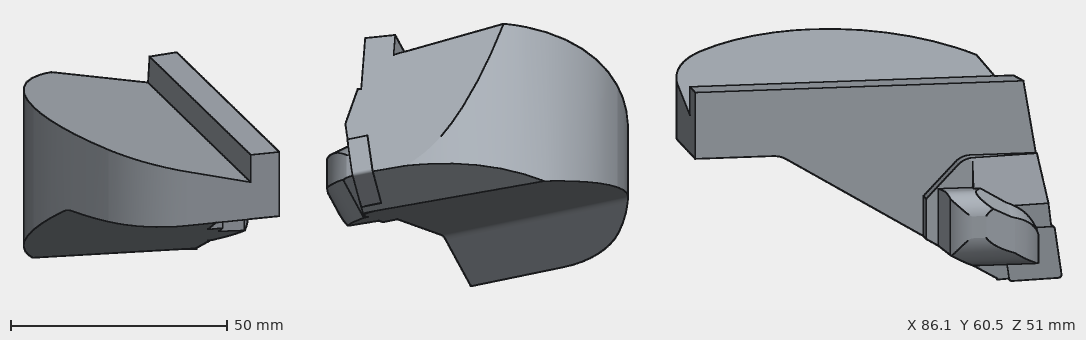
import cadquery as cq
import math

length = 86.0
top_height = 51.0
back_y = 47.9
nose_radius = 48.2
nose_center_x = 49.5
flank_radius = 47.7
flank_arc_start_y = 33.4
corner_radius = 20.0
top_slope = math.tan(math.radians(15))

rail_width = 7.0
rail_height = 46.7

toe_height = 0.9
toe_end_x = 15.6
toe_rise = 0.1
heel_height = 31.05
heel_start_x = 66.05
heel_blend = 6.0

back_lean_x = 0.16
back_lean_z = 0.13
flank_lean_z = 0.17
flank_offset = 0.95

seat_length = 32.4
seat_height = 29.7
seat_back_y = 51.4
seat_step_x = 21.5
seat_crest_radius = 4.65
seat_fall = math.radians(46)
upper_lean_z = 0.23
upper_start_y = 48.7
upper_start_x = 5.7

insert_corner = (-0.2, 48.0, 0.0)
insert_side = 12.9
insert_thickness = 4.7
insert_nose_radius = 0.8

bulge_back_y = 60.5
bulge_front_y = 49.0
bulge_left_x = 5.6
bulge_right_x = 30.1
bulge_crown_left_x = 19.95
bulge_crown_right_x = 23.3
bulge_top = 22.7
bulge_bottom = 4.5
bulge_crown_top = 17.7
bulge_crown_bottom = 12.55
bulge_face_y = 53.3
bulge_face_lean = 0.33
bulge_face_depth = 4.3

reach = 258.0


def half_space(point, normal):
    """Large block lying on the normal side of a plane."""
    along = cq.Vector(*normal).cross(cq.Vector(0.3, 0.5, 0.8))
    plane = cq.Plane(origin=point, xDir=along, normal=normal)
    return cq.Workplane(plane).rect(2 * reach, 2 * reach).extrude(reach)


def make_insert():
    """Rhombic insert lying in the leaning seat plane."""
    edge = cq.Vector(1, back_lean_x, 0)
    rise = cq.Vector(flank_lean_z, back_lean_x * flank_lean_z + back_lean_z, 1)
    corner_angle = edge.getAngle(rise)
    face_normal = edge.cross(rise)
    plane = cq.Plane(origin=insert_corner, xDir=edge, normal=face_normal)
    rise_x = insert_side * math.cos(corner_angle)
    rise_y = insert_side * math.sin(corner_angle)
    return (
        cq.Workplane(plane)
        .polyline([(0, 0), (insert_side, 0), (insert_side + rise_x, rise_y), (rise_x, rise_y)])
        .close()
        .extrude(insert_thickness)
        .edges("|(%f, %f, %f)" % face_normal.toTuple())
        .fillet(insert_nose_radius)
    )


def make_block():
    """Rounded plan shape with a sloping top and a rail at the back."""
    corner_x = length - corner_radius
    gap = nose_radius - corner_radius
    offset_x = corner_x - nose_center_x
    offset_y = math.sqrt(gap**2 - offset_x**2)
    corner_y = nose_radius - offset_y
    blend_x = nose_center_x + nose_radius * offset_x / gap
    blend_y = nose_radius - nose_radius * offset_y / gap
    middle = -math.atan2(offset_y, offset_x) / 2
    start_offset_y = flank_radius - flank_arc_start_y
    start_offset_x = math.sqrt(flank_radius**2 - start_offset_y**2)
    start_x = nose_center_x - start_offset_x
    tangent_x = start_x - (back_y - flank_arc_start_y) * start_offset_y / start_offset_x
    plan = (
        cq.Workplane("XY")
        .moveTo(tangent_x, back_y)
        .lineTo(start_x, flank_arc_start_y)
        .radiusArc((nose_center_x, 0), -flank_radius)
        .radiusArc((blend_x, blend_y), -nose_radius)
        .threePointArc(
            (corner_x + corner_radius * math.cos(middle), corner_y + corner_radius * math.sin(middle)),
            (length, corner_y),
        )
        .lineTo(length, back_y)
        .close()
        .extrude(top_height)
    )
    rail_front = back_y - rail_width
    side = (
        cq.Workplane("YZ")
        .polyline([
            (0, 0),
            (back_y, 0),
            (back_y, rail_height),
            (rail_front, rail_height),
            (rail_front, top_height - top_slope * rail_front),
            (0, top_height),
        ])
        .close()
        .extrude(length)
    )
    return plan.intersect(side)


def make_seat():
    """Thickened back carrying the insert, bounded by two leaning planes."""
    crest_end_x = seat_step_x + seat_crest_radius * math.sin(seat_fall)
    crest_end_z = seat_height - seat_crest_radius * (1 - math.cos(seat_fall))
    seat = (
        cq.Workplane("XZ")
        .lineTo(0, seat_height)
        .lineTo(seat_step_x, seat_height)
        .radiusArc((crest_end_x, crest_end_z), seat_crest_radius)
        .lineTo(seat_length, crest_end_z - (seat_length - crest_end_x) * math.tan(seat_fall))
        .lineTo(seat_length, 0)
        .close()
        .extrude(-reach)
    )
    seat = seat.cut(half_space((0, back_y - rail_width, 0), (0, -1, 0)))
    seat = seat.cut(half_space(insert_corner, (-back_lean_x, 1, -back_lean_z)))
    upper_point = (upper_start_x, upper_start_y, seat_height)
    seat = seat.cut(half_space(upper_point, (-back_lean_x, 1, upper_lean_z)))
    step = cq.Workplane("XY").box(reach, reach, reach, centered=False)
    return seat.cut(step.translate((seat_step_x, seat_back_y, 0)))


def make_bulge():
    """Rounded clamp bulge: plan, side and leaning face outlines crossed."""
    plan = (
        cq.Workplane("XY")
        .moveTo(bulge_left_x, bulge_front_y)
        .lineTo(bulge_left_x + 0.4, 51.4)
        .threePointArc((8.8, 55.5), (12.9, 58.6))
        .lineTo(bulge_crown_left_x, bulge_back_y)
        .lineTo(bulge_crown_right_x, bulge_back_y)
        .threePointArc((26.1, 59.7), (27.95, 58.1))
        .lineTo(bulge_right_x, bulge_front_y)
        .close()
        .extrude(seat_height)
    )
    side = (
        cq.Workplane("YZ")
        .moveTo(bulge_front_y, bulge_top)
        .lineTo(54.6, bulge_top)
        .threePointArc((58.65, 21.1), (bulge_back_y, bulge_crown_top))
        .lineTo(bulge_back_y, bulge_crown_bottom)
        .threePointArc((58.5, 8.25), (55.2, 5.7))
        .lineTo(52.5, bulge_bottom)
        .lineTo(bulge_front_y, bulge_bottom)
        .close()
        .extrude(seat_length)
    )
    face_plane = cq.Plane(
        origin=(0, bulge_face_y, 0), xDir=(1, 0, 0), normal=(0, -1, bulge_face_lean)
    )
    face = (
        cq.Workplane(face_plane)
        .moveTo(bulge_left_x, -bulge_face_depth)
        .lineTo(bulge_left_x, 8.2)
        .threePointArc((8.6, 14.4), (13.8, 17.8))
        .lineTo(bulge_crown_right_x, 23.2)
        .lineTo(seat_length, 23.2)
        .lineTo(seat_length, -bulge_face_depth)
        .close()
        .extrude(reach, both=True)
    )
    return plan.intersect(side).intersect(face)


def make_underside():
    """Spaces below the toe and below the ramp and heel."""
    toe = half_space((0, back_y, toe_height), (0, -toe_rise, -1))
    ramp = (
        cq.Workplane("XZ", origin=(0, -reach, 0))
        .polyline([
            (toe_end_x, toe_height),
            (heel_start_x, heel_height),
            (reach, heel_height),
            (reach, -reach),
            (toe_end_x, -reach),
        ])
        .close()
        .extrude(-2 * reach)
    )
    heel_edge = cq.selectors.NearestToPointSelector((heel_start_x, 0, heel_height))
    ramp = ramp.edges(heel_edge).fillet(heel_blend)
    return toe, ramp


def make_housing(insert):
    """Block, seat and bulge trimmed to the flank and underside, pocketed for the insert."""
    housing = make_block().union(make_seat()).union(make_bulge())
    flank_point = (flank_offset, back_y, 0)
    housing = housing.cut(half_space(flank_point, (-1, -back_lean_x, flank_lean_z)))
    for space in make_underside():
        housing = housing.cut(space)
    return housing.cut(insert)


insert = make_insert()
housing = make_housing(insert)
result = cq.Compound.makeCompound([housing.val(), insert.val()])